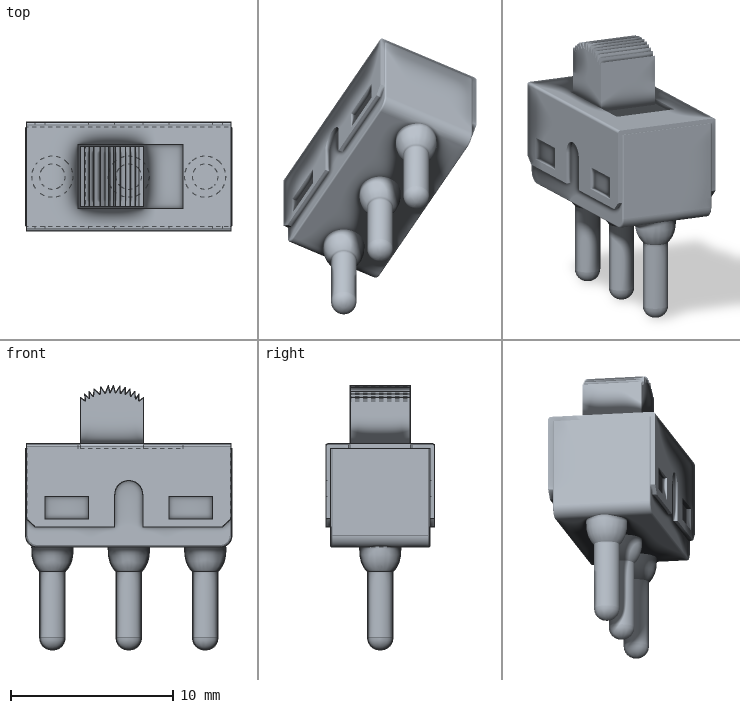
import cadquery as cq
import math


OVERALL_LENGTH = 12.7
OVERALL_WIDTH = 6.7
OVERALL_HEIGHT = 16.28
PIN_PROJECTION = 6.33
ACTUATOR_TOP = OVERALL_HEIGHT - PIN_PROJECTION

SHEET = 0.3
COVER_LENGTH = 12.6
COVER_TOP = 6.37
COVER_BOTTOM = 1.24
BEND_RADIUS = 0.16
SKIRT_CHAMFER_X = 0.54
SKIRT_CHAMFER_Z = 0.5

TOP_OPENING_LENGTH = 6.46
TOP_OPENING_WIDTH = 3.94
TOP_OPENING_X = 0.1
WINDOW_LENGTH = 2.67
WINDOW_HEIGHT = 1.38
WINDOW_BOTTOM = 1.73
WINDOW_X = 3.81
SLOT_WIDTH = 1.73
SLOT_TOP = 4.09

BASE_WIDTH = OVERALL_WIDTH - 2 * SHEET
BASE_TOP = COVER_TOP - SHEET
BASE_CORNER_RADIUS = 0.7
BASE_EDGE_RADIUS = 0.1

ACTUATOR_LENGTH = 3.89
ACTUATOR_WIDTH = 3.7
ACTUATOR_X = -1.03
CROWN_RADIUS = 2.91
TOOTH_DEPTH = 0.45
INNER_TIPS = [-1.7, -1.42, -1.1, -0.7, -0.23, 0.08, 0.47, 0.81, 1.1, 1.4, 1.66]
ROOTS = [-1.65, -1.4, -1.15, -0.75, -0.42, -0.13, 0.21, 0.52, 0.81, 1.14, 1.45, 1.65]

PIN_DIAMETER = 1.56
PIN_PITCH = 4.7
PIN_TIP_RADIUS = 0.75
COLLAR_DIAMETER = 2.5
COLLAR_LENGTH = 1.51
COLLAR_SHOULDER_DIAMETER = 2.25
COLLAR_EMBED = 0.16


def block(length, width, bottom, top):
    """Box centred on X and Y between two heights."""
    return cq.Workplane("XY").workplane(offset=bottom).rect(length, width).extrude(top - bottom)


def make_base():
    base = block(OVERALL_LENGTH, BASE_WIDTH, 0, BASE_TOP)
    base = base.edges("|Y and <Z").fillet(BASE_CORNER_RADIUS)
    return base.faces("<Y or >Y").edges("not >Z").fillet(BASE_EDGE_RADIUS)


def make_cover():
    cover = block(COVER_LENGTH, OVERALL_WIDTH, COVER_BOTTOM, COVER_TOP)
    cover = cover.edges("|X and >Z").fillet(BEND_RADIUS)
    cover = cover.cut(block(COVER_LENGTH, BASE_WIDTH, COVER_BOTTOM, BASE_TOP))

    end = COVER_LENGTH / 2
    for side in (-1, 1):
        corner = (
            cq.Workplane("XZ")
            .moveTo(side * end, COVER_BOTTOM)
            .lineTo(side * (end - SKIRT_CHAMFER_X), COVER_BOTTOM)
            .lineTo(side * end, COVER_BOTTOM + SKIRT_CHAMFER_Z)
            .close()
            .extrude(OVERALL_WIDTH / 2, both=True)
        )
        window = block(WINDOW_LENGTH, OVERALL_WIDTH, WINDOW_BOTTOM, WINDOW_BOTTOM + WINDOW_HEIGHT)
        cover = cover.cut(corner).cut(window.translate((side * WINDOW_X, 0, 0)))

    top_opening = block(TOP_OPENING_LENGTH, TOP_OPENING_WIDTH, BASE_TOP, COVER_TOP)
    cover = cover.cut(top_opening.translate((TOP_OPENING_X, 0, 0)))

    slot_radius = SLOT_WIDTH / 2
    slot_shoulder = SLOT_TOP - slot_radius
    slot = (
        cq.Workplane("XZ")
        .moveTo(-slot_radius, COVER_BOTTOM)
        .lineTo(-slot_radius, slot_shoulder)
        .threePointArc((0, SLOT_TOP), (slot_radius, slot_shoulder))
        .lineTo(slot_radius, COVER_BOTTOM)
        .close()
        .extrude(OVERALL_WIDTH / 2, both=True)
    )
    return cover.cut(slot)


def crown_height(x):
    """Height of the arc through the tooth tips, x measured from the actuator centre."""
    return ACTUATOR_TOP - CROWN_RADIUS + math.sqrt(CROWN_RADIUS**2 - x**2)


def make_actuator():
    half = ACTUATOR_LENGTH / 2
    tips = [-half] + INNER_TIPS + [half]
    outline = [(-half, BASE_TOP)]
    for tip, root in zip(tips, ROOTS):
        outline.append((tip, crown_height(tip)))
        outline.append((root, crown_height(root) - TOOTH_DEPTH))
    outline.append((half, crown_height(half)))
    outline.append((half, BASE_TOP))
    actuator = cq.Workplane("XZ").polyline(outline).close().extrude(ACTUATOR_WIDTH / 2, both=True)
    return actuator.translate((ACTUATOR_X, 0, 0))


def make_pin():
    """Pin on the Z axis, with a collar that rounds in to meet it below the base."""
    pin_radius = PIN_DIAMETER / 2
    collar_radius = COLLAR_DIAMETER / 2
    shoulder_radius = COLLAR_SHOULDER_DIAMETER / 2
    bulge = [
        (collar_radius, -COLLAR_LENGTH / 3),
        (shoulder_radius, -COLLAR_LENGTH * 2 / 3),
        (pin_radius, -COLLAR_LENGTH),
    ]
    collar = (
        cq.Workplane("XZ")
        .moveTo(0, COLLAR_EMBED)
        .lineTo(collar_radius, COLLAR_EMBED)
        .spline(bulge, includeCurrent=True)
        .lineTo(0, -COLLAR_LENGTH)
        .close()
        .revolve(360, (0, 0), (0, 1))
    )
    shank = cq.Workplane("XY").circle(pin_radius).extrude(-PIN_PROJECTION)
    shank = shank.faces("<Z").edges().fillet(PIN_TIP_RADIUS)
    return collar.union(shank)


result = make_base().union(make_cover()).union(make_actuator())
for position in (-1, 0, 1):
    result = result.union(make_pin().translate((position * PIN_PITCH, 0, 0)))